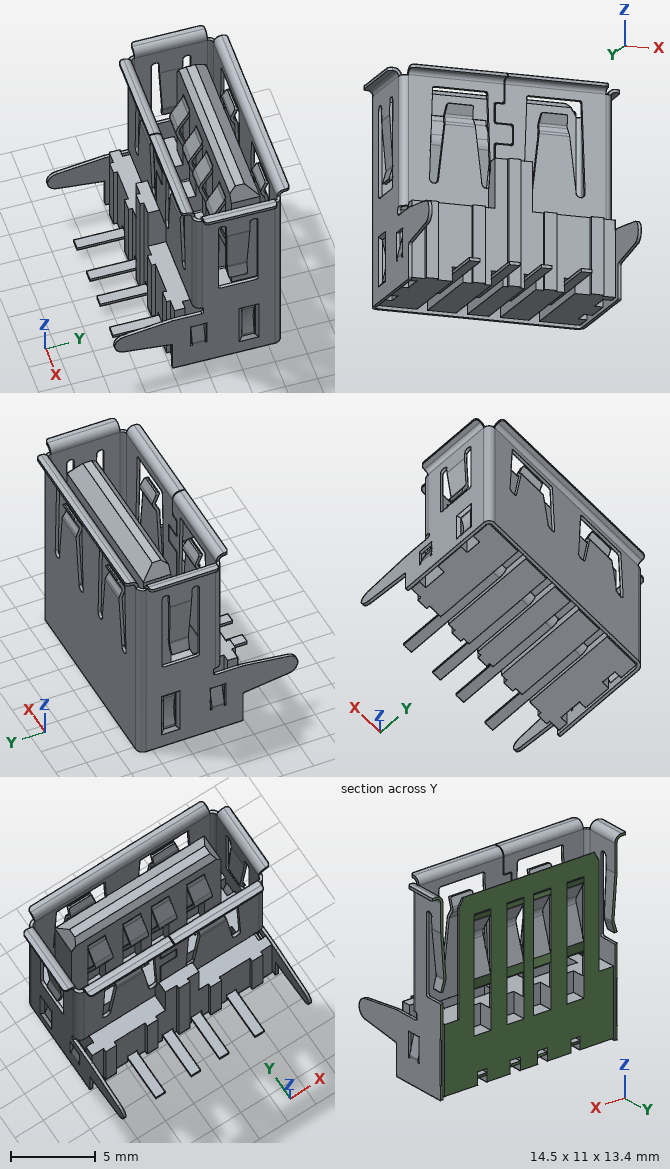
import cadquery as cq
import math


SHEET = 0.2
SHELL_HALF_X = 6.65
SHELL_HALF_Y = 2.73
SHELL_CORNER_R = 0.47
SHELL_HEIGHT = 13.45
FLANGE_REACH = 0.62
FLANGE_BEND_R = 0.4
FLANGE_CORNER_R = 0.25
WALL_TOP = SHELL_HEIGHT - SHEET / 2 - FLANGE_BEND_R
FRONT_WALL_BOTTOM = 4.92
JOIN_OVERLAP = 0.05
SHEET_MIDDLE = SHEET / 2
CUT_REACH = 1.0

CHEEK_FRONT_Y = -4.08
CHEEK_TOP = 4.39
CHEEK_CORNER_R = 0.1
RELIEF_BACK_Y = -2.14
RELIEF_CORNER_R = 0.15
TAIL_TIP_Y = -7.65
TAIL_TIP_R = 0.69
TAIL_Z = 3.3
TAIL_ROOT_HALF = CHEEK_TOP - TAIL_Z

SPRING_X = 2.95
SPRING_BASE_Z = 6.72
SPRING_TIP_Z = 11.46
SPRING_BASE_HALF = 1.36
SPRING_TIP_HALF = 0.8
SPRING_KNEE_Z = 10.2
SPRING_CREST_Z = 10.75
SPRING_CREST_DEPTH = 0.28
SPRING_TIP_LIFT = 0.08
SPRING_BEND_R = 0.3
WINDOW_TOP_Z = 12.39
WINDOW_TOP_HALF = 1.72
WINDOW_BASE_HALF = 1.92
WINDOW_CORNER_R = 0.15

SIDE_WINDOW_HALF = 1.22
SIDE_WINDOW_BOTTOM = 6.34
SIDE_WINDOW_TOP = 12.0
SIDE_SLOT_WIDTH = 0.48
SIDE_SPRING_TIP_Z = 7.06
SIDE_SPRING_TIP_HALF = 0.58
SIDE_SPRING_BEND_Z = 10.99
SIDE_SPRING_CREST_Z = 7.87
SIDE_SPRING_DEPTH = 0.24
SIDE_BEND_R = 0.3

SEAM_GAP = 0.06
SEAM_TOP_X = -0.18
SEAM_LEFT_X = -0.78
SEAM_RIGHT_X = 0.35
SEAM_STEPS_Z = (11.75, 10.5, 9.25)
SEAM_CORNER_R = 0.13

BULGE_Y = 0.66
BULGE_RIM_HALF = 0.61
BULGE_RIM_DEPTH = 0.18
BULGE_FLOOR_HALF = 0.385
BULGE_BACK_HALF = 0.455
BULGE_BOTTOM_Z = 0.95
BULGE_TOP_Z = 4.02
BULGE_DEPTH = 0.39

LANCE_Y = -2.445
LANCE_HOLE_WIDTH = 1.01
LANCE_HOLE_BOTTOM = 1.68
LANCE_HOLE_TOP = 3.41
LANCE_WIDTH = 0.8
LANCE_TOP = 3.14
LANCE_DEPTH = 0.32
LANCE_BEND_R = 0.15

HOUSING_HALF_X = 6.36
HOUSING_NARROW_HALF_X = 5.83
HOUSING_BACK_Y = 2.4
HOUSING_BOTTOM = 0.17
BASE_TOP = FRONT_WALL_BOTTOM
BASE_FRONT_Y = -SHELL_HALF_Y + SHEET / 2
BLOCK_FRONT_Y = -3.86
BLOCK_BACK_Y = -3.2
SLOT_BACK_Y = -1.71
BULGE_NOTCH_HALF = 0.5
POCKET_BACK_Y = -1.6
POCKET_FLOOR = 2.0
POCKET_OUTER_X = 4.99
POST_HALF_X = 1.18
POST_TOP = 8.0
POST_TOP_BACK_Y = -3.14
POST_RAMP_Z = 6.34
RIB_FRONT_Y = -4.1
RIB_WIDTH = 0.77
RIB_XS = (-5.17, -2.24, 0, 2.24, 5.17)

TONGUE_HALF_X = 5.28
TONGUE_FRONT_Y = 0
TONGUE_BACK_Y = 1.78
TONGUE_TOP = 13.1
TONGUE_SIDE_BEVEL = (0.5, 0.9)
TONGUE_BACK_BEVEL = (0.81, 0.85)
TONGUE_FRONT_BEVEL = (0.4, 0.35)

CONTACT_XS = (-3.5, -1.0, 1.0, 3.5)
CONTACT_SHEET = 0.2
CONTACT_WIDTH = 1.25
LEAD_WIDTH = 0.67
LEAD_TIP_Y = -6.86
LEAD_Z = 0.72
LEAD_BEND_R = 0.5
COLUMN_Y = 0.75
BEAM_START_Z = 4.9
BEAM_CREST = (-0.8, 9.72)
BEAM_TOP = (0, 11.05)
BEAM_TIP = (0.12, 11.4)
BEAM_BEND_R = 0.7
TIP_BEND_R = 0.2
GROOVE_TOP = 11.44
GROOVE_BACK_Y = 1.25
GROOVE_FLOOR = 3.5
GROOVE_FRONT_Y = -0.86
CHANNEL_TOP = 1.05
INNER_CHANNEL_CLEARANCE = 0.06


def box(x_range, y_range, z_range):
    """Box between the given limits on each axis."""
    size = [high - low for low, high in (x_range, y_range, z_range)]
    low_corner = (x_range[0], y_range[0], z_range[0])
    return cq.Workplane("XY").box(*size, centered=False).translate(low_corner)


def bent_strip(points, radii, width, thickness):
    """Sheet strip, centred on X = 0, whose middle follows the (y, z) points with a radius at each bend."""
    path = cq.Workplane("YZ").moveTo(*points[0])
    for before, corner, after, radius in zip(points, points[1:], points[2:], radii):
        to_before = cq.Vector(*before) - cq.Vector(*corner)
        to_after = cq.Vector(*after) - cq.Vector(*corner)
        setback = radius / math.tan(to_before.getAngle(to_after) / 2)
        arc_start = cq.Vector(*corner) + to_before.normalized() * setback
        arc_end = cq.Vector(*corner) + to_after.normalized() * setback
        path = path.lineTo(arc_start.x, arc_start.y)
        path = path.tangentArcPoint((arc_end.x, arc_end.y), relative=False)
    path = path.lineTo(*points[-1])
    (y0, z0), (y1, z1) = points[:2]
    start = cq.Plane(origin=(0, y0, z0), xDir=(1, 0, 0), normal=(0, y1 - y0, z1 - z0))
    return cq.Workplane(start).rect(width, thickness).sweep(path)


def tapered_outline(bottom_half, bottom_z, top_half, top_z):
    """Prism along Y, symmetric about X = 0, that cuts across a wall."""
    corners = [(-bottom_half, bottom_z), (bottom_half, bottom_z), (top_half, top_z), (-top_half, top_z)]
    return cq.Workplane("XZ").polyline(corners).close().extrude(CUT_REACH, both=True)


def round_cutters(half_spacing, z, radius):
    """Pair of cylinders along Y for the round ends of two slots."""
    centres = [(-half_spacing, z), (half_spacing, z)]
    return cq.Workplane("XZ").pushPoints(centres).circle(radius).extrude(CUT_REACH, both=True)


def on_front(feature, x=0):
    return feature.translate((x, -SHELL_HALF_Y, 0))


def on_back(feature, x=0):
    return on_front(feature, x).mirror("XZ")


def on_left(feature, y=0):
    return feature.translate((-y, -SHELL_HALF_X, 0)).rotate((0, 0, 0), (0, 0, 1), -90)


def on_right(feature, y=0):
    return on_left(feature, y).mirror("YZ")


def flange(length):
    points = [
        (SHEET_MIDDLE, WALL_TOP - JOIN_OVERLAP),
        (SHEET_MIDDLE, WALL_TOP + FLANGE_BEND_R),
        (-FLANGE_REACH, WALL_TOP + FLANGE_BEND_R),
    ]
    strip = bent_strip(points, [FLANGE_BEND_R], length, SHEET)
    return strip.faces("<Y").edges("|Z").fillet(FLANGE_CORNER_R)


def spring_window():
    slot_r = (WINDOW_BASE_HALF - SPRING_BASE_HALF) / 2
    opening = tapered_outline(WINDOW_BASE_HALF, SPRING_BASE_Z, WINDOW_TOP_HALF, WINDOW_TOP_Z)
    opening = opening.faces(">Z").edges("|Y").fillet(WINDOW_CORNER_R)
    return opening.union(round_cutters(SPRING_BASE_HALF + slot_r, SPRING_BASE_Z, slot_r))


def spring():
    middle = SHEET_MIDDLE
    points = [
        (middle, SPRING_BASE_Z - JOIN_OVERLAP),
        (middle, SPRING_KNEE_Z),
        (middle + SPRING_CREST_DEPTH, SPRING_CREST_Z),
        (middle - SPRING_TIP_LIFT, SPRING_TIP_Z),
    ]
    strip = bent_strip(points, [SPRING_BEND_R, SPRING_BEND_R], 2 * WINDOW_BASE_HALF, SHEET)
    bottom_z = SPRING_BASE_Z - JOIN_OVERLAP
    outline = tapered_outline(SPRING_BASE_HALF, bottom_z, SPRING_TIP_HALF, SPRING_TIP_Z)
    return strip.intersect(outline.faces(">Z").edges("|Y").fillet(WINDOW_CORNER_R))


def side_window():
    slot_r = SIDE_SLOT_WIDTH / 2
    slot_end_z = SIDE_WINDOW_TOP - slot_r
    opening = tapered_outline(SIDE_WINDOW_HALF, SIDE_WINDOW_BOTTOM, SIDE_WINDOW_HALF, slot_end_z)
    opening = opening.faces("<Z").edges("|Y").fillet(WINDOW_CORNER_R)
    return opening.union(round_cutters(SIDE_WINDOW_HALF - slot_r, slot_end_z, slot_r))


def side_spring():
    middle = SHEET_MIDDLE
    root_z = SIDE_WINDOW_TOP - SIDE_SLOT_WIDTH / 2 + JOIN_OVERLAP
    points = [
        (middle, root_z),
        (middle, SIDE_SPRING_BEND_Z),
        (middle + SIDE_SPRING_DEPTH, SIDE_SPRING_CREST_Z),
        (middle, SIDE_SPRING_TIP_Z),
    ]
    strip = bent_strip(points, [SIDE_BEND_R, SIDE_BEND_R], 2 * SIDE_WINDOW_HALF, SHEET)
    root_half = SIDE_WINDOW_HALF - SIDE_SLOT_WIDTH
    outline = tapered_outline(SIDE_SPRING_TIP_HALF, SIDE_SPRING_TIP_Z, root_half, root_z)
    return strip.intersect(outline.faces("<Z").edges("|Y").fillet(WINDOW_CORNER_R))


def bulge_arch(half_width, start_y):
    """Arched block that rises inward from start_y to the bulge depth."""
    middle_z = (BULGE_BOTTOM_Z + BULGE_TOP_Z) / 2
    return (
        cq.Workplane("YZ")
        .moveTo(start_y, BULGE_BOTTOM_Z)
        .threePointArc((start_y + BULGE_DEPTH, middle_z), (start_y, BULGE_TOP_Z))
        .close()
        .extrude(half_width, both=True)
    )


def bulge_hollow():
    """Arched floor with a bevelled rim around it at the outer face."""
    middle_z = (BULGE_BOTTOM_Z + BULGE_TOP_Z) / 2
    rim_height = BULGE_TOP_Z - BULGE_BOTTOM_Z
    bevel_run = BULGE_RIM_HALF - BULGE_FLOOR_HALF
    rim = (
        cq.Workplane("XZ")
        .center(0, middle_z)
        .rect(2 * BULGE_RIM_HALF, rim_height)
        .workplane(offset=-BULGE_RIM_DEPTH)
        .rect(2 * BULGE_FLOOR_HALF, rim_height - 2 * bevel_run)
        .loft()
    )
    return rim.union(bulge_arch(BULGE_FLOOR_HALF, 0))


def lance_hole():
    half = LANCE_HOLE_WIDTH / 2
    return box((-half, half), (-SHEET, 2 * SHEET), (LANCE_HOLE_BOTTOM, LANCE_HOLE_TOP))


def lance():
    middle = SHEET_MIDDLE
    points = [
        (middle, LANCE_HOLE_BOTTOM - JOIN_OVERLAP),
        (middle, LANCE_HOLE_BOTTOM + LANCE_BEND_R),
        (middle + LANCE_DEPTH, LANCE_TOP),
    ]
    return bent_strip(points, [LANCE_BEND_R], LANCE_WIDTH, SHEET)


def seam():
    """Zigzag gap through the front wall and its flange."""
    high_z, middle_z, low_z = SEAM_STEPS_Z
    half = SEAM_GAP / 2
    steps = [
        (SEAM_LEFT_X, FRONT_WALL_BOTTOM - CUT_REACH, low_z),
        (SEAM_RIGHT_X, low_z, middle_z),
        (SEAM_LEFT_X, middle_z, high_z),
        (SEAM_TOP_X, high_z, SHELL_HEIGHT + CUT_REACH),
    ]
    depth = (-SHELL_HALF_Y - FLANGE_REACH - CUT_REACH, -SHELL_HALF_Y + SHEET + FLANGE_BEND_R)
    gap = cq.Workplane("XY")
    for x, bottom_z, top_z in steps:
        gap = gap.union(box((x - half, x + half), depth, (bottom_z - half, top_z + half)))
    for (x, _, z), (next_x, _, _) in zip(steps, steps[1:]):
        crossing_x = (min(x, next_x) - half, max(x, next_x) + half)
        gap = gap.union(box(crossing_x, depth, (z - half, z + half)))
    bends = cq.selectors.BoxSelector(
        (-SHELL_HALF_X, 2 * depth[0], low_z - SEAM_GAP),
        (SHELL_HALF_X, -2 * depth[0], high_z + SEAM_GAP),
    )
    return gap.edges("|Y").edges(bends).fillet(SEAM_CORNER_R)


def cheek():
    """Forward part of the left side wall, with its board tail."""
    tail_centre_y = TAIL_TIP_Y + TAIL_TIP_R
    length = CHEEK_FRONT_Y - tail_centre_y
    lean = math.atan2(TAIL_ROOT_HALF, length) - math.asin(TAIL_TIP_R / math.hypot(length, TAIL_ROOT_HALF))
    tangent_y = tail_centre_y - TAIL_TIP_R * math.sin(lean)
    tangent_rise = TAIL_TIP_R * math.cos(lean)
    back_y = -SHELL_HALF_Y + SHELL_CORNER_R
    outline = (
        cq.Workplane("YZ")
        .moveTo(back_y, 0)
        .lineTo(CHEEK_FRONT_Y, 0)
        .lineTo(CHEEK_FRONT_Y, TAIL_Z - TAIL_ROOT_HALF)
        .lineTo(tangent_y, TAIL_Z - tangent_rise)
        .threePointArc((TAIL_TIP_Y, TAIL_Z), (tangent_y, TAIL_Z + tangent_rise))
        .lineTo(CHEEK_FRONT_Y, CHEEK_TOP)
        .lineTo(back_y, CHEEK_TOP)
        .close()
        .extrude(SHEET)
        .translate((-SHELL_HALF_X, 0, 0))
    )
    front_corners = cq.selectors.BoxSelector(
        (-SHELL_HALF_X - SHEET, CHEEK_FRONT_Y - SHEET, -SHEET),
        (-SHELL_HALF_X + 2 * SHEET, CHEEK_FRONT_Y + SHEET, TAIL_Z),
    )
    return outline.edges("|X").edges(front_corners).fillet(CHEEK_CORNER_R)


def build_shell():
    straight_x = SHELL_HALF_X - SHELL_CORNER_R
    straight_y = SHELL_HALF_Y - SHELL_CORNER_R
    shell = cq.Workplane("XY").rect(2 * SHELL_HALF_X, 2 * SHELL_HALF_Y).extrude(WALL_TOP)
    shell = shell.edges("|Z").fillet(SHELL_CORNER_R).faces("+Z or -Z").shell(-SHEET)
    full_x = (-SHELL_HALF_X - CUT_REACH, SHELL_HALF_X + CUT_REACH)
    relief_middle = (CHEEK_TOP + FRONT_WALL_BOTTOM) / 2
    shell = shell.cut(box(full_x, (-SHELL_HALF_Y - CUT_REACH, -straight_y), (-CUT_REACH, relief_middle)))
    shell = shell.union(cheek()).union(cheek().mirror("YZ"))
    relief = box(full_x, (CHEEK_FRONT_Y - CUT_REACH, RELIEF_BACK_Y), (CHEEK_TOP, FRONT_WALL_BOTTOM))
    shell = shell.cut(relief.faces(">Y").edges("|X").fillet(RELIEF_CORNER_R))

    for place in (on_front, on_back):
        shell = shell.union(place(flange(2 * straight_x)))
        for x in (-SPRING_X, SPRING_X):
            shell = shell.cut(place(spring_window(), x)).union(place(spring(), x))
    for place in (on_left, on_right):
        shell = shell.union(place(flange(2 * straight_y)))
        shell = shell.cut(place(side_window())).union(place(side_spring()))
        shell = shell.union(place(bulge_arch(BULGE_BACK_HALF, SHEET), BULGE_Y))
        shell = shell.cut(place(bulge_hollow(), BULGE_Y))
        shell = shell.cut(place(lance_hole(), LANCE_Y)).union(place(lance(), LANCE_Y))
    return shell.cut(seam())


def build_contact(x):
    lead_points = [(LEAD_TIP_Y, LEAD_Z), (COLUMN_Y, LEAD_Z), (COLUMN_Y, GROOVE_FLOOR)]
    lead = bent_strip(lead_points, [LEAD_BEND_R], LEAD_WIDTH, CONTACT_SHEET)
    beam_points = [(COLUMN_Y, GROOVE_FLOOR), (COLUMN_Y, BEAM_START_Z), BEAM_CREST, BEAM_TOP, BEAM_TIP]
    beam_radii = [BEAM_BEND_R, BEAM_BEND_R, TIP_BEND_R]
    beam = bent_strip(beam_points, beam_radii, CONTACT_WIDTH, CONTACT_SHEET)
    return lead.union(beam).translate((x, 0, 0))


def build_tongue():
    side_run, side_drop = TONGUE_SIDE_BEVEL
    back_run, back_drop = TONGUE_BACK_BEVEL
    front_run, front_drop = TONGUE_FRONT_BEVEL
    profile = [
        (TONGUE_FRONT_Y, HOUSING_BOTTOM),
        (TONGUE_FRONT_Y, TONGUE_TOP - front_drop),
        (TONGUE_FRONT_Y + front_run, TONGUE_TOP),
        (TONGUE_BACK_Y - back_run, TONGUE_TOP),
        (TONGUE_BACK_Y, TONGUE_TOP - back_drop),
        (TONGUE_BACK_Y, HOUSING_BOTTOM),
    ]
    face = [
        (-TONGUE_HALF_X, HOUSING_BOTTOM),
        (-TONGUE_HALF_X, TONGUE_TOP - side_drop),
        (-TONGUE_HALF_X + side_run, TONGUE_TOP),
        (TONGUE_HALF_X - side_run, TONGUE_TOP),
        (TONGUE_HALF_X, TONGUE_TOP - side_drop),
        (TONGUE_HALF_X, HOUSING_BOTTOM),
    ]
    across = cq.Workplane("YZ").polyline(profile).close().extrude(TONGUE_HALF_X, both=True)
    along = cq.Workplane("XZ").polyline(face).close().extrude(TONGUE_BACK_Y, both=True)
    return across.intersect(along)


def contact_groove(x):
    """Groove up the tongue front, and the well in the base that it runs down into."""
    x_range = (x - CONTACT_WIDTH / 2, x + CONTACT_WIDTH / 2)
    groove = box(x_range, (TONGUE_FRONT_Y, GROOVE_BACK_Y), (GROOVE_FLOOR, GROOVE_TOP))
    return groove.union(box(x_range, (GROOVE_FRONT_Y, GROOVE_BACK_Y), (GROOVE_FLOOR, BASE_TOP)))


def build_post():
    """Middle post in front of the shell, with a lead-in ramp behind it."""
    profile = [
        (BLOCK_FRONT_Y, HOUSING_BOTTOM),
        (-SHELL_HALF_Y, HOUSING_BOTTOM),
        (-SHELL_HALF_Y, POST_RAMP_Z),
        (POST_TOP_BACK_Y, POST_TOP),
        (BLOCK_FRONT_Y, POST_TOP),
    ]
    return cq.Workplane("YZ").polyline(profile).close().extrude(POST_HALF_X, both=True)


def build_housing():
    full_x = (-HOUSING_HALF_X, HOUSING_HALF_X)
    housing = box(full_x, (BASE_FRONT_Y, HOUSING_BACK_Y), (HOUSING_BOTTOM, BASE_TOP))
    block_z = (HOUSING_BOTTOM, FRONT_WALL_BOTTOM)
    housing = housing.union(box(full_x, (BLOCK_FRONT_Y, BASE_FRONT_Y), block_z))
    for side in (-1, 1):
        pocket_x = sorted((side * POST_HALF_X, side * POCKET_OUTER_X))
        housing = housing.cut(box(pocket_x, (BASE_FRONT_Y, POCKET_BACK_Y), (POCKET_FLOOR, BASE_TOP)))
        groove_x = sorted((side * HOUSING_NARROW_HALF_X, side * HOUSING_HALF_X))
        full_z = (HOUSING_BOTTOM, BASE_TOP)
        housing = housing.cut(box(groove_x, (BLOCK_BACK_Y, SLOT_BACK_Y), full_z))
        notch_y = (BULGE_Y - BULGE_NOTCH_HALF, BULGE_Y + BULGE_NOTCH_HALF)
        housing = housing.cut(box(groove_x, notch_y, full_z))

    housing = housing.union(build_post()).union(build_tongue())
    for x in RIB_XS:
        rib_top = POST_TOP if abs(x) < POST_HALF_X else FRONT_WALL_BOTTOM
        rib_x = (x - RIB_WIDTH / 2, x + RIB_WIDTH / 2)
        housing = housing.union(box(rib_x, (RIB_FRONT_Y, BLOCK_FRONT_Y), (HOUSING_BOTTOM, rib_top)))

    innermost = min(abs(x) for x in CONTACT_XS)
    for x in CONTACT_XS:
        clearance = INNER_CHANNEL_CLEARANCE if abs(x) == innermost else 0
        outer_edge = abs(x) + LEAD_WIDTH / 2 + clearance
        inner_edge = abs(x) - LEAD_WIDTH / 2
        channel_x = sorted(math.copysign(edge, x) for edge in (inner_edge, outer_edge))
        channel_y = (RIB_FRONT_Y, HOUSING_BACK_Y)
        housing = housing.cut(box(channel_x, channel_y, (HOUSING_BOTTOM, CHANNEL_TOP)))
        housing = housing.cut(contact_groove(x)).cut(build_contact(x))
    return housing


shell = build_shell()
housing = build_housing()
contacts = [build_contact(x) for x in CONTACT_XS]

result = cq.Compound.makeCompound([shell.val(), housing.val(), *[contact.val() for contact in contacts]])